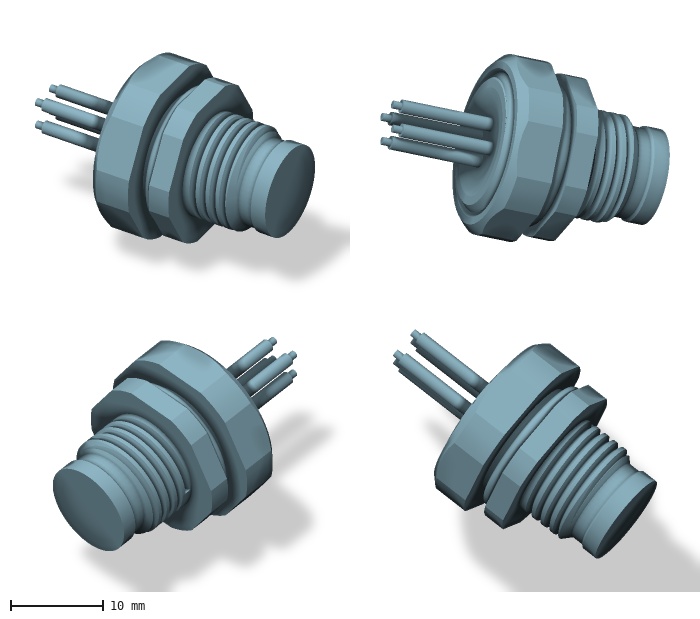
import cadquery as cq
import math

TOTAL_LENGTH = 31.0

WIRE_OFFSET = 1.5
WIRE_RADIUS = 0.75
CONDUCTOR_RADIUS = 0.43
CONDUCTOR_LENGTH = 1.0

REAR_X = 11.0
REAR_FACE_RADIUS = 6.98
REAR_THREAD_RADIUS = 8.0
REAR_PITCH = 1.5
REAR_GROOVE_WIDTH = 1.2
REAR_GROOVE_X = 10.35
REAR_GROOVE_TURNS = 4.25
DISH_RADIUS = 6.0
DISH_DEPTH = 0.62

NUT_X = 11.5
NUT_THICKNESS = 5.0
NUT_ACROSS_FLATS = 19.0
NUT_CORNER_RADIUS = 9.98
NUT_FACE_RADIUS = 9.02
NUT_BORE_RADIUS = 7.38
NUT_BORE_CHAMFER = 0.87

SEAT_RADIUS = 6.8
RING_SECTION_RADIUS = 0.62

FLANGE_X = 18.5
FLANGE_THICKNESS = 2.5
FLANGE_ACROSS_FLATS = 17.05
FLANGE_CORNER_RADIUS = 9.02

FRONT_THREAD_RADIUS = 6.0
FRONT_THREAD_END_X = 27.5
FRONT_PITCH = 1.25
FRONT_GROOVE_WIDTH = 0.78
FRONT_GROOVE_X = 21.67
FRONT_GROOVE_TURNS = 5
NECK_RADIUS = 5.02
COLLAR_RADIUS = 5.3
COLLAR_X = 29.2
COLLAR_CHAMFER = COLLAR_RADIUS - NECK_RADIUS

HEXAGON_SIDES = 6
FLANK_HALF_ANGLE = 30
GROOVE_CLEARANCE = 0.15
ROD_OVERRUN = 1.85

NUT_END_X = NUT_X + NUT_THICKNESS
FLANGE_END_X = FLANGE_X + FLANGE_THICKNESS


def revolve_about_x(profile):
    return profile.close().revolve(360, (0, 0, 0), (1, 0, 0))


def cylinder_along_x(start_x, end_x, radius):
    return cq.Workplane("YZ").workplane(offset=start_x).circle(radius).extrude(end_x - start_x)


def rounded_hexagon(start_x, thickness, across_flats, corner_radius):
    """Hexagonal prism with flats facing +Z and -Z and its corners turned down to a radius."""
    half_side_angle = 180 / HEXAGON_SIDES
    prism = (
        cq.Workplane("YZ").workplane(offset=start_x)
        .polygon(HEXAGON_SIDES, across_flats, circumscribed=True).extrude(thickness)
    )
    prism = prism.rotate((0, 0, 0), (1, 0, 0), half_side_angle)
    return prism.intersect(cylinder_along_x(start_x, start_x + thickness, corner_radius))


def thread_groove(start_x, crest_radius, width, pitch, turns, left_handed):
    """Cutter for a helical V groove that starts on the +Y side and advances toward +X."""
    slope = math.tan(math.radians(FLANK_HALF_ANGLE))
    root_radius = crest_radius - width / 2 / slope
    outer_radius = crest_radius + GROOVE_CLEARANCE
    half_opening = (outer_radius - root_radius) * slope
    helix = cq.Wire.makeHelix(pitch, pitch * turns, root_radius, lefthand=left_handed)
    cutter = (
        cq.Workplane("XZ")
        .moveTo(root_radius, 0)
        .lineTo(outer_radius, half_opening)
        .lineTo(outer_radius, -half_opening)
        .close()
        .sweep(cq.Workplane(helix), isFrenet=True)
    )
    return cutter.rotate((0, 0, 0), (1, 1, 1), 120).translate((start_x, 0, 0))


def make_wire(y, z):
    """Insulated wire with a bare conductor tip, rooted below the bottom of the dish."""
    insulation = cylinder_along_x(CONDUCTOR_LENGTH, REAR_X + 2 * DISH_DEPTH, WIRE_RADIUS)
    conductor = cylinder_along_x(0, CONDUCTOR_LENGTH, CONDUCTOR_RADIUS)
    return insulation.union(conductor).translate((0, y, z))


def make_rear():
    """Threaded rear section with the dished and chamfered end face."""
    groove = thread_groove(
        REAR_GROOVE_X, REAR_THREAD_RADIUS, REAR_GROOVE_WIDTH, REAR_PITCH, REAR_GROOVE_TURNS, True
    )
    rod = cylinder_along_x(REAR_X - ROD_OVERRUN, NUT_END_X, REAR_THREAD_RADIUS).cut(groove)
    chamfer = REAR_THREAD_RADIUS - REAR_FACE_RADIUS
    dish_sphere_radius = (DISH_RADIUS**2 + DISH_DEPTH**2) / (2 * DISH_DEPTH)
    dish_half_angle = math.asin(DISH_RADIUS / dish_sphere_radius) / 2
    dish_middle = (
        REAR_X + DISH_DEPTH - dish_sphere_radius * (1 - math.cos(dish_half_angle)),
        dish_sphere_radius * math.sin(dish_half_angle),
    )
    turned_shape = revolve_about_x(
        cq.Workplane("XY")
        .moveTo(REAR_X + DISH_DEPTH, 0)
        .threePointArc(dish_middle, (REAR_X, DISH_RADIUS))
        .lineTo(REAR_X, REAR_FACE_RADIUS)
        .lineTo(REAR_X + chamfer, REAR_THREAD_RADIUS)
        .lineTo(NUT_END_X, REAR_THREAD_RADIUS)
        .lineTo(NUT_END_X, 0)
    )
    return rod.intersect(turned_shape)


def make_front_thread():
    """Threaded front section, turned down to the neck by a chamfer at its end."""
    groove = thread_groove(
        FRONT_GROOVE_X, FRONT_THREAD_RADIUS, FRONT_GROOVE_WIDTH, FRONT_PITCH, FRONT_GROOVE_TURNS, False
    )
    rod = cylinder_along_x(FLANGE_END_X, FRONT_THREAD_END_X + ROD_OVERRUN, FRONT_THREAD_RADIUS).cut(groove)
    chamfer = FRONT_THREAD_RADIUS - NECK_RADIUS
    turned_shape = revolve_about_x(
        cq.Workplane("XY")
        .moveTo(FLANGE_END_X, 0)
        .lineTo(FLANGE_END_X, FRONT_THREAD_RADIUS)
        .lineTo(FRONT_THREAD_END_X - chamfer, FRONT_THREAD_RADIUS)
        .lineTo(FRONT_THREAD_END_X, NECK_RADIUS)
        .lineTo(FRONT_THREAD_END_X, 0)
    )
    return rod.intersect(turned_shape)


def make_collar():
    """Neck and end collar in front of the front thread."""
    collar = cylinder_along_x(COLLAR_X - COLLAR_CHAMFER, TOTAL_LENGTH, COLLAR_RADIUS)
    collar = collar.faces("<X").chamfer(COLLAR_CHAMFER)
    neck = cylinder_along_x(FRONT_THREAD_END_X, COLLAR_X, NECK_RADIUS)
    return neck.union(collar)


def make_housing():
    body = cylinder_along_x(NUT_END_X, FLANGE_X, SEAT_RADIUS)
    body = body.union(
        rounded_hexagon(FLANGE_X, FLANGE_THICKNESS, FLANGE_ACROSS_FLATS, FLANGE_CORNER_RADIUS)
    )
    body = body.union(make_rear()).union(make_front_thread()).union(make_collar())
    for y in (-WIRE_OFFSET, WIRE_OFFSET):
        for z in (-WIRE_OFFSET, WIRE_OFFSET):
            body = body.union(make_wire(y, z))
    return body


def make_nut(mating_housing):
    """Nut whose internal thread is the exact counterpart of the housing's rear thread."""
    outer_chamfer = NUT_CORNER_RADIUS - NUT_FACE_RADIUS
    blank = rounded_hexagon(NUT_X, NUT_THICKNESS, NUT_ACROSS_FLATS, NUT_CORNER_RADIUS)
    turned_shape = revolve_about_x(
        cq.Workplane("XY")
        .moveTo(NUT_X, NUT_BORE_RADIUS + NUT_BORE_CHAMFER)
        .lineTo(NUT_X, NUT_FACE_RADIUS)
        .lineTo(NUT_X + outer_chamfer, NUT_CORNER_RADIUS)
        .lineTo(NUT_END_X, NUT_CORNER_RADIUS)
        .lineTo(NUT_END_X, NUT_BORE_RADIUS)
        .lineTo(NUT_X + NUT_BORE_CHAMFER, NUT_BORE_RADIUS)
    )
    return blank.intersect(turned_shape).cut(mating_housing)


def make_sealing_ring():
    """O-ring lying on the seat and against the flange."""
    return (
        cq.Workplane("XY")
        .moveTo(FLANGE_X - RING_SECTION_RADIUS, SEAT_RADIUS + RING_SECTION_RADIUS)
        .circle(RING_SECTION_RADIUS)
        .revolve(360, (0, 0, 0), (1, 0, 0))
    )


housing = make_housing()
nut = make_nut(housing)
sealing_ring = make_sealing_ring()

result = cq.Compound.makeCompound([housing.val(), nut.val(), sealing_ring.val()])